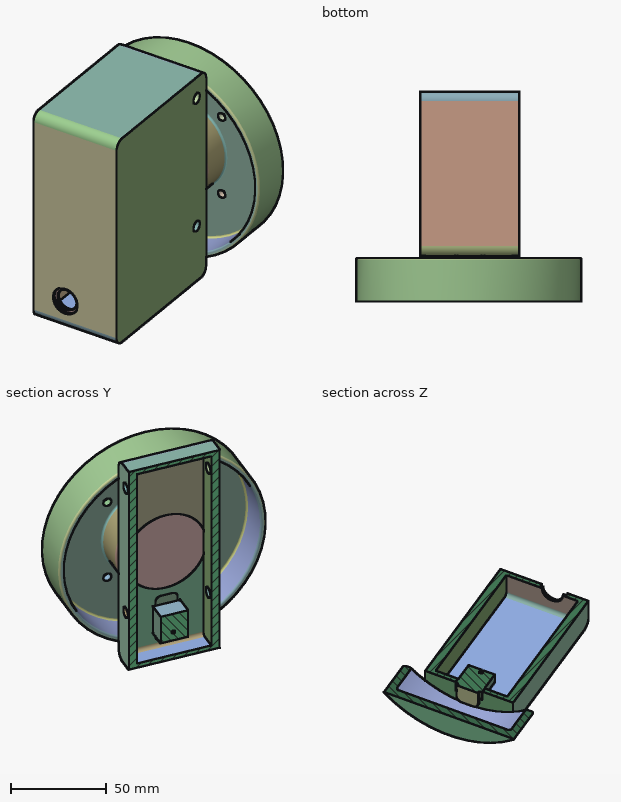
import cadquery as cq


HOUSING_WIDTH = 52.0
HOUSING_DEPTH = 86.0
HOUSING_HEIGHT = 126.0
HOUSING_EDGE_RADIUS = 5.0
FACE_WALL = 3.0
SIDE_WALL = 5.0

WINDOW_X = -6.0
WINDOW_Z = -46.0
WINDOW_DIAMETER = 12.0
WINDOW_RECESS_DIAMETER = 15.2
WINDOW_RECESS_DEPTH = 1.5

CROSS_HOLE_DIAMETER = 6.0
CROSS_HOLE_FROM_BACK = 9.2
CROSS_HOLE_HEIGHTS = (50.0, -29.0)

GAP = 1.0
DISH_X = -0.5
DISH_Z = -1.0
DISH_DIAMETER = 118.0
DISH_DEPTH = 22.9
DISH_WALL = 3.0
DISH_FLOOR = 5.0
DISH_EDGE_RADIUS = 1.0
BOSS_DIAMETER = 53.0
BOSS_HEIGHT = 17.6
SCREW_HOLE_DIAMETER = 4.5
SCREW_HOLE_SPACING = 47.6

POST_DIAMETER = 46.0
POST_SEAT_DEPTH = 4.0

BLOCK_WIDTH = 15.6
BLOCK_HEIGHT = 17.1
BLOCK_Z = -42.6
BLOCK_DEPTH = 15.1
BLOCK_PROTRUSION = 0.5
PLUG_WIDTH = 12.6
PLUG_HEIGHT = 28.2
PLUG_RADIUS = 3.0
PLUG_REACH = 2.0
PILOT_DIAMETER = 1.6
PILOT_DEPTH = 2.5
PILOT_X = -0.5
PILOT_Z = -45.7

HOUSING_BACK = HOUSING_DEPTH
BACK_WALL_INSIDE = HOUSING_BACK - FACE_WALL
RIM_Y = HOUSING_BACK + GAP
DISH_BACK = RIM_Y + DISH_DEPTH
DISH_FLOOR_Y = DISH_BACK - DISH_FLOOR
BOSS_TOP_Y = DISH_FLOOR_Y - BOSS_HEIGHT
POST_END_Y = BOSS_TOP_Y + POST_SEAT_DEPTH
BLOCK_END_Y = HOUSING_BACK + BLOCK_PROTRUSION
PLUG_END_Y = HOUSING_BACK + PLUG_REACH


def block(width, depth, height, y_start, z=0.0):
    """A block centred on X = 0 that runs from y_start towards +Y."""
    return cq.Workplane("XY").box(width, depth, height).translate((0, y_start + depth / 2, z))


def rod(diameter, y_start, y_end, x, z):
    """A cylinder along Y."""
    start = cq.Vector(x, y_start, z)
    axis = cq.Vector(0, 1, 0)
    return cq.Workplane(cq.Solid.makeCylinder(diameter / 2, y_end - y_start, start, axis))


def make_post():
    return rod(POST_DIAMETER, BACK_WALL_INSIDE, POST_END_Y, DISH_X, DISH_Z)


def make_connector():
    block_start_y = BLOCK_END_Y - BLOCK_DEPTH
    inner_block = block(BLOCK_WIDTH, BLOCK_DEPTH, BLOCK_HEIGHT, block_start_y, BLOCK_Z)
    plug = block(PLUG_WIDTH, PLUG_END_Y - BACK_WALL_INSIDE, PLUG_HEIGHT, BACK_WALL_INSIDE, BLOCK_Z)
    plug = plug.edges("|Y").fillet(PLUG_RADIUS)
    pilot = rod(PILOT_DIAMETER, block_start_y, block_start_y + PILOT_DEPTH, PILOT_X, PILOT_Z)
    return inner_block.union(plug).cut(pilot)


def make_housing(post, connector):
    shell = block(HOUSING_WIDTH, HOUSING_DEPTH, HOUSING_HEIGHT, 0).edges("|X").fillet(HOUSING_EDGE_RADIUS)
    cavity = block(
        HOUSING_WIDTH - 2 * SIDE_WALL,
        HOUSING_DEPTH - 2 * FACE_WALL,
        HOUSING_HEIGHT - 2 * FACE_WALL,
        FACE_WALL,
    )
    cavity = cavity.edges("|X").fillet(HOUSING_EDGE_RADIUS - FACE_WALL)
    shell = shell.cut(cavity)

    shell = shell.cut(rod(WINDOW_DIAMETER, 0, FACE_WALL, WINDOW_X, WINDOW_Z))
    shell = shell.cut(rod(WINDOW_RECESS_DIAMETER, 0, WINDOW_RECESS_DEPTH, WINDOW_X, WINDOW_Z))

    hole_y = HOUSING_BACK - CROSS_HOLE_FROM_BACK
    cross_holes = (
        cq.Workplane("YZ")
        .pushPoints([(hole_y, z) for z in CROSS_HOLE_HEIGHTS])
        .circle(CROSS_HOLE_DIAMETER / 2)
        .extrude(HOUSING_WIDTH / 2, both=True)
    )
    return shell.cut(cross_holes).cut(post).cut(connector)


def make_dish(post):
    pan = rod(DISH_DIAMETER, RIM_Y, DISH_BACK, DISH_X, DISH_Z)
    recess = rod(DISH_DIAMETER - 2 * DISH_WALL, RIM_Y, DISH_FLOOR_Y, DISH_X, DISH_Z)
    recess = recess.faces(">Y").edges().fillet(DISH_EDGE_RADIUS)
    pan = pan.cut(recess).faces("<Y").edges().fillet(DISH_EDGE_RADIUS)

    boss = rod(BOSS_DIAMETER, BOSS_TOP_Y, DISH_FLOOR_Y, DISH_X, DISH_Z)
    boss = boss.faces("<Y").edges().fillet(DISH_EDGE_RADIUS)
    pan = pan.union(boss)
    floor = pan.faces(cq.selectors.NearestToPointSelector((DISH_X, DISH_FLOOR_Y, DISH_Z)))
    pan = floor.edges(cq.selectors.RadiusNthSelector(0)).fillet(DISH_EDGE_RADIUS)

    for side_x in (-1, 1):
        for side_z in (-1, 1):
            x = DISH_X + side_x * SCREW_HOLE_SPACING / 2
            z = DISH_Z + side_z * SCREW_HOLE_SPACING / 2
            pan = pan.cut(rod(SCREW_HOLE_DIAMETER, DISH_FLOOR_Y, DISH_BACK, x, z))
    return pan.cut(post)


post = make_post()
connector = make_connector()
housing = make_housing(post, connector)
dish = make_dish(post)

result = cq.Compound.makeCompound([housing.val(), dish.val(), post.val(), connector.val()])